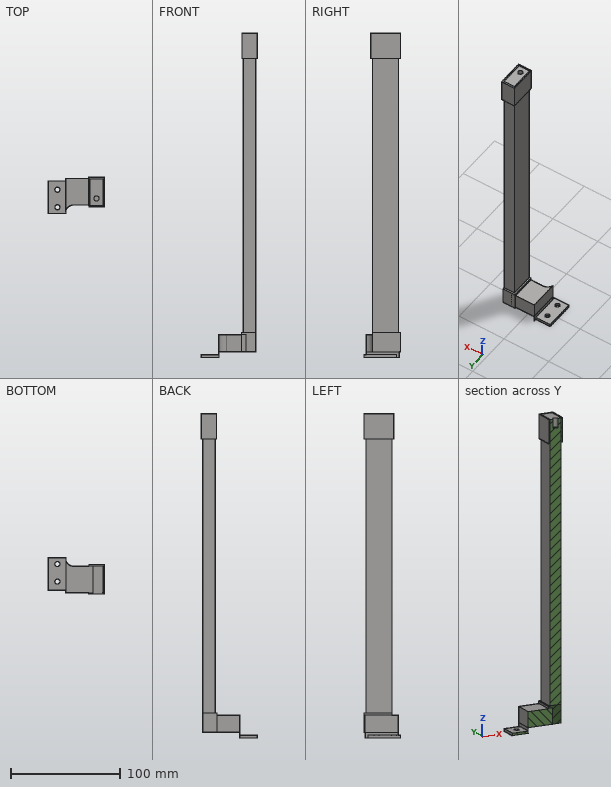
import cadquery as cq

TOTAL_HEIGHT = 297.0
BLOCK_BOTTOM = 5.3
BLOCK_TOP = 21.0
COLLAR_TOP = 23.2

BAR_X = (38.5, 50.2)
BAR_Y = (7.7, 31.8)
BAR_HOLE_Y = 14.0
BAR_HOLE_DIAMETER = 4.8
BAR_HOLE_DEPTH = 9.0

CAP_X = (37.5, 51.7)
CAP_Y = (6.2, 33.5)
CAP_HEIGHT = 23.5

COLLAR_X = (36.8, BAR_X[1])
COLLAR_Y = (BAR_Y[0], CAP_Y[1])

PLATE_LENGTH = 16.5
PLATE_WIDTH = 30.0
PLATE_THICKNESS = 2.7
PLATE_HOLE_X = 8.5
PLATE_HOLES_Y = (6.0, 22.0)
PLATE_HOLE_DIAMETER = 4.5
RISER_THICKNESS = 0.5
RISER_X = (PLATE_LENGTH - RISER_THICKNESS, PLATE_LENGTH)
RISER_Y = (2.0, 32.5)
TONGUE_STEP = 0.15
BLOCK_FRONT = BAR_Y[0] + TONGUE_STEP
WEB_LENGTH = 7.5
WEB_DEPTH = BLOCK_FRONT - RISER_Y[0]
WEB_RADIUS = (WEB_LENGTH**2 + WEB_DEPTH**2) / (2 * WEB_DEPTH)
TONGUE_END = 41.3


def box(x_range, y_range, z_range):
    """Box spanning the given ranges along the three axes."""
    starts, ends = zip(x_range, y_range, z_range)
    sizes = [end - start for start, end in zip(starts, ends)]
    return cq.Workplane("XY").box(*sizes, centered=False).translate(starts)


def make_bar():
    """Solid bar with a blind hole in its upper end."""
    bar = box(BAR_X, BAR_Y, (COLLAR_TOP, TOTAL_HEIGHT))
    hole = (
        cq.Workplane("XY", origin=(sum(BAR_X) / 2, BAR_HOLE_Y, TOTAL_HEIGHT))
        .circle(BAR_HOLE_DIAMETER / 2)
        .extrude(-BAR_HOLE_DEPTH)
    )
    return bar.cut(hole)


def make_cap():
    """Open sleeve that fits around the bar, flush with its upper end."""
    z_range = (TOTAL_HEIGHT - CAP_HEIGHT, TOTAL_HEIGHT)
    return box(CAP_X, CAP_Y, z_range).cut(box(BAR_X, BAR_Y, z_range))


def make_tongue():
    """End of the bracket that fills the recess in the collar."""
    return box((COLLAR_X[0], TONGUE_END), (COLLAR_Y[0], RISER_Y[1]), (BLOCK_BOTTOM, BLOCK_TOP))


def make_collar():
    """Block under the bar, recessed for the bracket tongue."""
    return box(COLLAR_X, COLLAR_Y, (BLOCK_BOTTOM, COLLAR_TOP)).cut(make_tongue())


def make_plate():
    """Screw plate with two holes."""
    plate = box((0, PLATE_LENGTH), (0, PLATE_WIDTH), (0, PLATE_THICKNESS))
    holes = (
        cq.Workplane("XY")
        .pushPoints([(PLATE_HOLE_X, y) for y in PLATE_HOLES_Y])
        .circle(PLATE_HOLE_DIAMETER / 2)
        .extrude(PLATE_THICKNESS)
    )
    return plate.cut(holes)


def make_web():
    """Concave curve between the riser and the front of the block."""
    web_x = (RISER_X[0], RISER_X[0] + WEB_LENGTH)
    web_z = (BLOCK_BOTTOM, BLOCK_TOP)
    curve = (
        cq.Workplane("XY", origin=(web_x[1], BLOCK_FRONT - WEB_RADIUS, BLOCK_BOTTOM))
        .circle(WEB_RADIUS)
        .extrude(BLOCK_TOP - BLOCK_BOTTOM)
    )
    return box(web_x, (RISER_Y[0], BLOCK_FRONT), web_z).cut(curve)


def make_riser():
    """Thin upright that joins the screw plate to the block."""
    return box(RISER_X, RISER_Y, (0, BLOCK_BOTTOM))


def make_bracket():
    """Screw plate, riser, block and tongue in one piece."""
    block = box((RISER_X[0], COLLAR_X[0]), (BLOCK_FRONT, RISER_Y[1]), (BLOCK_BOTTOM, BLOCK_TOP))
    return make_plate().union(make_riser()).union(block).union(make_web()).union(make_tongue())


bar = make_bar()
cap = make_cap()
collar = make_collar()
bracket = make_bracket()

result = cq.Compound.makeCompound([bar.val(), cap.val(), collar.val(), bracket.val()])